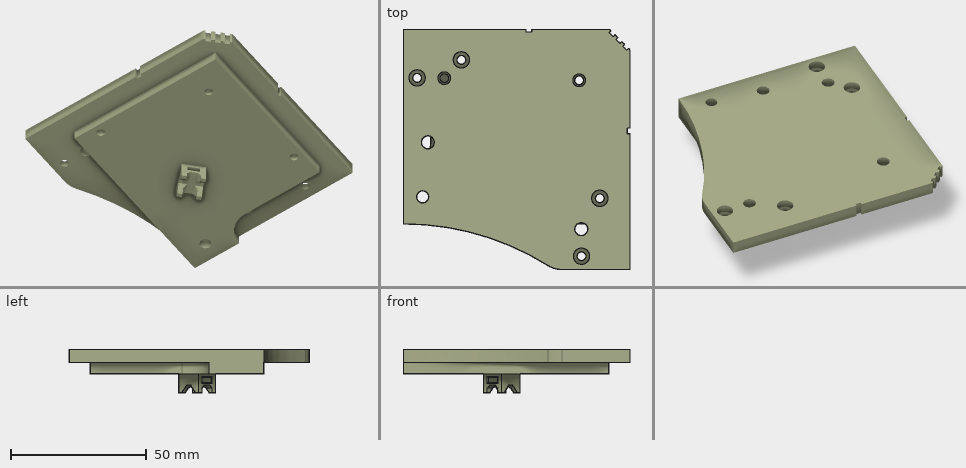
import cadquery as cq
import math

LENGTH_X = 83.4
LENGTH_Y = 88.45
PLATE_THICKNESS = 4.95
LAYER_THICKNESS = 4.1
BOSS_HEIGHT = 7.0

LAYER_BOTTOM = BOSS_HEIGHT
PLATE_BOTTOM = LAYER_BOTTOM + LAYER_THICKNESS
TOP = PLATE_BOTTOM + PLATE_THICKNESS

FRONT_EDGE_Y = 16.8
FRONT_ARC_RADIUS = 100.0
BLEND_RADIUS = 10.0
CORNER_CHAMFER = 7.5

NOTCH_WIDTH = 2.0
NOTCH_DEPTH = 1.0
BACK_NOTCH_X = 46.2
RIGHT_NOTCH_Y = 51.1
CORNER_NOTCH_COUNT = 3

LAYER_MARGIN = 7.8
LAYER_STEP_X = 10.0
STEP_RADIUS = 10.0
STEP_END_Y = 46.9

SCREW_DIAMETER = 3.2
HEAD_DIAMETER = 6.0
HEAD_DEPTH = 3.0
SCREW_POINTS = [(5.0, 70.6), (21.3, 77.2), (72.3, 26.3), (65.5, 4.95)]
PIN_DIAMETER = 4.7
PIN_POINTS = [(9.0, 46.9), (65.45, 14.95)]
PLAIN_DIAMETER = 4.3
PLAIN_POINT = (7.1, 26.8)
SEAT_DIAMETER = 4.7
THROUGH_SEAT_POINT = (64.7, 69.7)
BLIND_SEAT_POINT = (15.0, 70.5)
BLIND_DEPTH = PLATE_THICKNESS + LAYER_THICKNESS / 2

BOSS_CENTRE = (36.2, 41.3)
BOSS_WIDTH = 10.0
BOSS_DEPTH = 9.2
BOSS_ANGLE = 46.5
CHANNEL_HEIGHT = 2.8
SLOPED_CHANNEL_WIDTH = 7.1
SLOPED_CHANNEL_ROOF = 1.8
CHAMFERED_CHANNEL_WIDTH = 5.3
CHAMFERED_CHANNEL_ROOF = 2.8
CHAMFERED_WALL_HEIGHT = 1.7
NUT_SLOT_WIDTH = 5.5
NUT_SLOT_HEIGHT = 2.6
NUT_SLOT_CENTRE_Z = 4.8
NUT_SLOT_BEVEL = 0.35


def make_plate():
    arc_centre_y = FRONT_EDGE_Y - FRONT_ARC_RADIUS
    centre_distance = FRONT_ARC_RADIUS + BLEND_RADIUS
    blend_angle = math.acos((BLEND_RADIUS - arc_centre_y) / centre_distance)
    blend_x = centre_distance * math.sin(blend_angle)

    def on_front_arc(angle):
        return (FRONT_ARC_RADIUS * math.sin(angle), arc_centre_y + FRONT_ARC_RADIUS * math.cos(angle))

    blend_middle = (
        blend_x - BLEND_RADIUS * math.sin(blend_angle / 2),
        BLEND_RADIUS - BLEND_RADIUS * math.cos(blend_angle / 2),
    )
    return (
        cq.Workplane("XY", origin=(0, 0, PLATE_BOTTOM))
        .moveTo(0, FRONT_EDGE_Y)
        .threePointArc(on_front_arc(blend_angle / 2), on_front_arc(blend_angle))
        .threePointArc(blend_middle, (blend_x, 0))
        .lineTo(LENGTH_X, 0)
        .lineTo(LENGTH_X, LENGTH_Y - CORNER_CHAMFER)
        .lineTo(LENGTH_X - CORNER_CHAMFER, LENGTH_Y)
        .lineTo(0, LENGTH_Y)
        .close()
        .extrude(PLATE_THICKNESS)
    )


def make_layer():
    right_x = LENGTH_X - LAYER_MARGIN
    back_y = LENGTH_Y - LAYER_MARGIN
    return (
        cq.Workplane("XY", origin=(0, 0, LAYER_BOTTOM))
        .moveTo(0, FRONT_EDGE_Y)
        .lineTo(right_x, FRONT_EDGE_Y)
        .lineTo(right_x, back_y)
        .lineTo(LAYER_STEP_X, back_y)
        .lineTo(LAYER_STEP_X, STEP_END_Y)
        .radiusArc((LAYER_STEP_X - STEP_RADIUS, STEP_END_Y - STEP_RADIUS), STEP_RADIUS)
        .close()
        .extrude(LAYER_THICKNESS)
    )


def edge_notch(x, y, angle):
    """Cutter for a notch centred on an edge point; angle is the edge direction."""
    return (
        cq.Workplane("XY")
        .box(NOTCH_WIDTH, 2 * NOTCH_DEPTH, PLATE_THICKNESS, centered=(True, True, False))
        .rotate((0, 0, 0), (0, 0, 1), angle)
        .translate((x, y, PLATE_BOTTOM))
    )


def cut_notches(body):
    body = body.cut(edge_notch(BACK_NOTCH_X, LENGTH_Y, 0))
    body = body.cut(edge_notch(LENGTH_X, RIGHT_NOTCH_Y, 90))
    for index in range(CORNER_NOTCH_COUNT):
        offset = CORNER_CHAMFER * (index + 0.5) / CORNER_NOTCH_COUNT
        body = body.cut(edge_notch(LENGTH_X - CORNER_CHAMFER + offset, LENGTH_Y - offset, -45))
    return body


def hole(points, diameter, depth):
    """Round cutter going down from the top face at each point."""
    return cq.Workplane("XY", origin=(0, 0, TOP)).pushPoints(points).circle(diameter / 2).extrude(-depth)


def cut_holes(body):
    through = TOP - LAYER_BOTTOM
    body = body.cut(hole(SCREW_POINTS + [THROUGH_SEAT_POINT], SCREW_DIAMETER, through))
    body = body.cut(hole(SCREW_POINTS, HEAD_DIAMETER, HEAD_DEPTH))
    body = body.cut(hole([BLIND_SEAT_POINT], SCREW_DIAMETER, BLIND_DEPTH))
    body = body.cut(hole([THROUGH_SEAT_POINT, BLIND_SEAT_POINT], SEAT_DIAMETER, PLATE_THICKNESS))
    body = body.cut(hole(PIN_POINTS, PIN_DIAMETER, PLATE_THICKNESS))
    return body.cut(hole([PLAIN_POINT], PLAIN_DIAMETER, through))


def channel(plane, width, roof, wall_height, length):
    """Channel along the plane normal, open at Z = 0, with sloped shoulders and a flat roof."""
    half_width = width / 2
    half_roof = roof / 2
    profile = cq.Workplane(plane).moveTo(-half_width, 0)
    if wall_height > 0:
        profile = profile.lineTo(-half_width, wall_height)
    profile = profile.lineTo(-half_roof, CHANNEL_HEIGHT).lineTo(half_roof, CHANNEL_HEIGHT)
    if wall_height > 0:
        profile = profile.lineTo(half_width, wall_height)
    return profile.lineTo(half_width, 0).close().extrude(length / 2, both=True)


def make_nut_slot():
    """Cutter for the slot along the boss width, bevelled outwards at its mouth on the -X end."""
    inner_width = NUT_SLOT_WIDTH - 2 * NUT_SLOT_BEVEL
    inner_height = NUT_SLOT_HEIGHT - 2 * NUT_SLOT_BEVEL
    slot = cq.Workplane("XY").box(BOSS_WIDTH, inner_width, inner_height)
    mouth = (
        cq.Workplane("YZ", origin=(-BOSS_WIDTH / 2, 0, 0))
        .rect(NUT_SLOT_WIDTH, NUT_SLOT_HEIGHT)
        .workplane(offset=NUT_SLOT_BEVEL)
        .rect(inner_width, inner_height)
        .loft(ruled=True)
    )
    return slot.union(mouth).translate((0, 0, NUT_SLOT_CENTRE_Z))


def make_boss():
    boss = cq.Workplane("XY").box(BOSS_WIDTH, BOSS_DEPTH, BOSS_HEIGHT, centered=(True, True, False))
    boss = boss.cut(channel("XZ", SLOPED_CHANNEL_WIDTH, SLOPED_CHANNEL_ROOF, 0, BOSS_DEPTH))
    boss = boss.cut(
        channel("YZ", CHAMFERED_CHANNEL_WIDTH, CHAMFERED_CHANNEL_ROOF, CHAMFERED_WALL_HEIGHT, BOSS_WIDTH)
    )
    boss = boss.cut(make_nut_slot())
    boss = boss.rotate((0, 0, 0), (0, 0, 1), BOSS_ANGLE)
    return boss.translate((BOSS_CENTRE[0], BOSS_CENTRE[1], 0))


plate = cut_notches(make_plate())
base = cut_holes(plate.union(make_layer()))
result = base.union(make_boss())